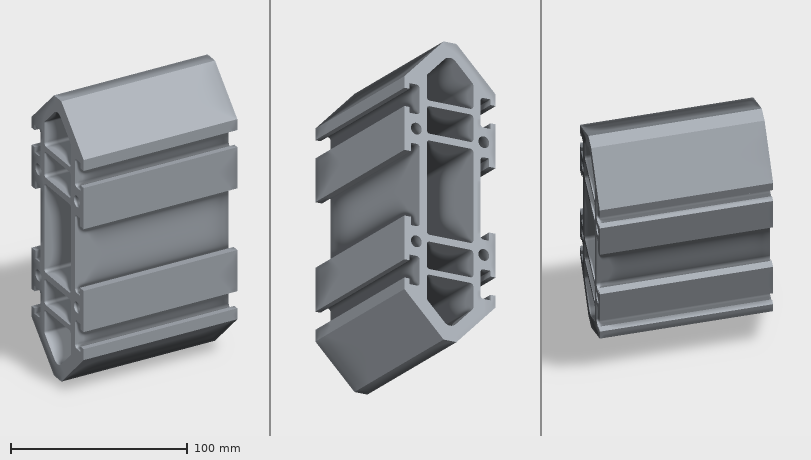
import cadquery as cq
import math

width = 60.0
length = 100.0
height = 180.0
half_width = width / 2
half_height = height / 2

tip_flat = 8.5
shoulder_z = half_height - (half_width - tip_flat / 2)

wall_outer_x = 20.0
wall_inner_x = 15.3

slot_top_z = 60.7
slot_bottom_z = 42.8
slot_lip_height = 3.5
slot_lip_thickness = 3.5
slot_lip_x = half_width - slot_lip_thickness

channel_top_z = 24.8
hook_end_z = 19.8
hook_thickness = 4.3
hook_x = half_width - hook_thickness

hole_diameter = 7.0
hole_x = 22.1
hole_z = 34.0

center_chamber_top_z = 28.5
box_chamber_bottom_z = 32.5
box_chamber_top_z = 49.1
tip_chamber_bottom_z = 52.5
tip_chamber_corner_z = 67.7
tip_chamber_peak_z = 80.8

corner_radius = 2.0


def prism(outline):
    """Extrude a closed XZ outline along Y, centred on the origin."""
    return outline.extrude(length / 2, both=True)


def box(x_min, x_max, z_min, z_max):
    """Full-length block between the given X and Z limits."""
    return prism(
        cq.Workplane("XZ")
        .center((x_min + x_max) / 2, (z_min + z_max) / 2)
        .rect(x_max - x_min, z_max - z_min)
    )


def mirrored(solid):
    """The solid together with its copy below the XY plane."""
    return solid.union(solid.mirror("XY"))


def four_way(solid):
    """The solid repeated in all four quadrants of the profile."""
    return mirrored(solid.union(solid.mirror("YZ")))


def outer_body():
    return prism(
        cq.Workplane("XZ").polyline([
            (tip_flat / 2, half_height),
            (half_width, shoulder_z),
            (half_width, -shoulder_z),
            (tip_flat / 2, -half_height),
            (-tip_flat / 2, -half_height),
            (-half_width, -shoulder_z),
            (-half_width, shoulder_z),
            (-tip_flat / 2, half_height),
        ]).close()
    )


def t_slot():
    cavity = box(wall_outer_x, slot_lip_x, slot_bottom_z, slot_top_z)
    cavity = cavity.edges("|Y and <X").fillet(corner_radius)
    opening = box(
        wall_outer_x + corner_radius,
        half_width,
        slot_bottom_z + slot_lip_height,
        slot_top_z - slot_lip_height,
    )
    return cavity.union(opening)


def side_channel():
    cavity = box(wall_outer_x, hook_x, -channel_top_z, channel_top_z)
    cavity = cavity.edges("|Y and <X").fillet(corner_radius)
    opening = box(wall_outer_x + corner_radius, half_width, -hook_end_z, hook_end_z)
    channel = cavity.union(opening)
    return channel.union(channel.mirror("YZ"))


def screw_hole():
    return prism(cq.Workplane("XZ").center(hole_x, hole_z).circle(hole_diameter / 2))


def rounded_chamber(z_min, z_max):
    return box(-wall_inner_x, wall_inner_x, z_min, z_max).edges("|Y").fillet(corner_radius)


def tip_chamber():
    apex_z = tip_chamber_corner_z + wall_inner_x
    peak_radius = (apex_z - tip_chamber_peak_z) / (math.sqrt(2) - 1)
    chamber = prism(
        cq.Workplane("XZ").polyline([
            (-wall_inner_x, tip_chamber_bottom_z),
            (wall_inner_x, tip_chamber_bottom_z),
            (wall_inner_x, tip_chamber_corner_z),
            (0, apex_z),
            (-wall_inner_x, tip_chamber_corner_z),
        ]).close()
    )
    chamber = chamber.edges("|Y and >Z").fillet(peak_radius)
    return chamber.edges("|Y and (<X or >X)").fillet(corner_radius)


result = (
    outer_body()
    .cut(four_way(t_slot()))
    .cut(side_channel())
    .cut(four_way(screw_hole()))
    .cut(rounded_chamber(-center_chamber_top_z, center_chamber_top_z))
    .cut(mirrored(rounded_chamber(box_chamber_bottom_z, box_chamber_top_z)))
    .cut(mirrored(tip_chamber()))
)